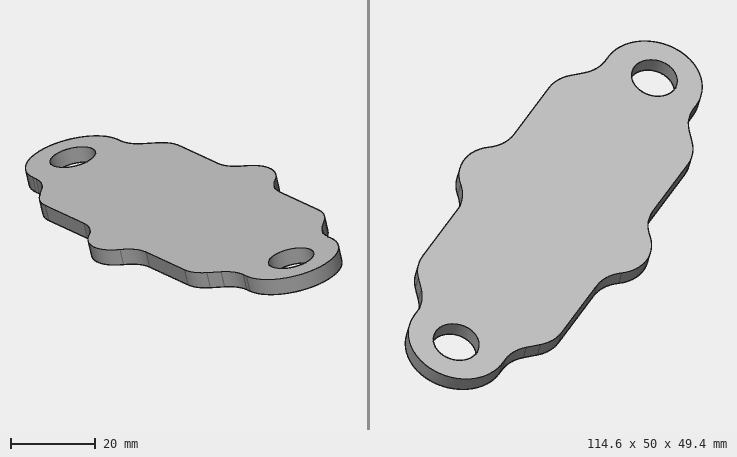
import cadquery as cq
import math

overall_x = 114.6
tilt_angle = 22.0
thickness = 4.0
body_width = 38.0
plate_width = 50.0
end_radius = 12.0
hole_spacing = 100.0
hole_diameter = 11.0
blend_radius = 10.0
shoulder_start = 35.5
shoulder_angle = 40.0

tilt = math.radians(tilt_angle)
plate_length = (overall_x - thickness * math.sin(tilt)) / math.cos(tilt)
end_center_x = plate_length / 2 - end_radius

body_half = body_width / 2
shoulder_run = (body_half - end_radius) / math.tan(math.radians(shoulder_angle))
shoulder_end = shoulder_start + shoulder_run

lobe_top = plate_width / 2
lobe_center_y = lobe_top - blend_radius
root_center_y = body_half + blend_radius
root_start = math.sqrt((2 * blend_radius) ** 2 - (root_center_y - lobe_center_y) ** 2)
lobe_join_x = root_start / 2
lobe_join_y = (lobe_center_y + root_center_y) / 2


def make_body():
    """Plate with rounded ends and filleted shoulders."""
    return (
        cq.Workplane("XY")
        .moveTo(-end_center_x, end_radius)
        .lineTo(-shoulder_end, end_radius)
        .lineTo(-shoulder_start, body_half)
        .lineTo(shoulder_start, body_half)
        .lineTo(shoulder_end, end_radius)
        .lineTo(end_center_x, end_radius)
        .threePointArc((plate_length / 2, 0), (end_center_x, -end_radius))
        .lineTo(shoulder_end, -end_radius)
        .lineTo(shoulder_start, -body_half)
        .lineTo(-shoulder_start, -body_half)
        .lineTo(-shoulder_end, -end_radius)
        .lineTo(-end_center_x, -end_radius)
        .threePointArc((-plate_length / 2, 0), (-end_center_x, end_radius))
        .close()
        .extrude(thickness / 2, both=True)
        .edges(shoulder_corners())
        .fillet(blend_radius)
    )


def shoulder_corners():
    """Select the upright edges at the sharp shoulder corners."""
    half_reach = (shoulder_end + end_center_x) / 2
    return cq.selectors.BoxSelector(
        (-half_reach, -plate_width, -thickness / 4),
        (half_reach, plate_width, thickness / 4),
    )


def make_lobe(side):
    """Central lobe on the +Y (side = 1) or -Y (side = -1) long side."""
    return (
        cq.Workplane("XY")
        .moveTo(-root_start, 0)
        .lineTo(-root_start, side * body_half)
        .radiusArc((-lobe_join_x, side * lobe_join_y), -side * blend_radius)
        .threePointArc((0, side * lobe_top), (lobe_join_x, side * lobe_join_y))
        .radiusArc((root_start, side * body_half), -side * blend_radius)
        .lineTo(root_start, 0)
        .close()
        .extrude(thickness / 2, both=True)
    )


def make_holes():
    """Cutters for the through hole in each rounded end."""
    return (
        cq.Workplane("XY", origin=(0, 0, -thickness))
        .pushPoints([(-hole_spacing / 2, 0), (hole_spacing / 2, 0)])
        .circle(hole_diameter / 2)
        .extrude(2 * thickness)
    )


plate = make_body()
for lobe_side in (1, -1):
    plate = plate.union(make_lobe(lobe_side))
plate = plate.cut(make_holes())

result = plate.rotate((0, 0, 0), (0, 1, 0), -tilt_angle)